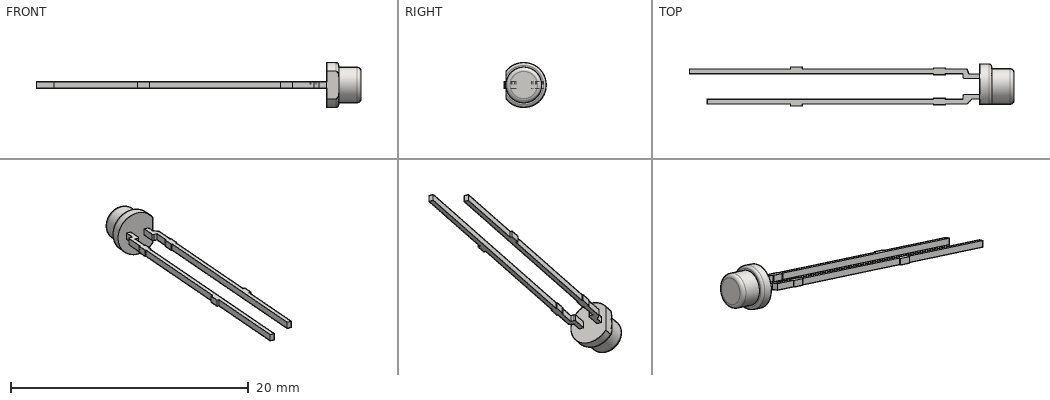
import cadquery as cq

overall_length = 27.3

flange_diameter = 3.8
lens_diameter = 3.0
flange_thickness = 1.0
lens_length = 1.88
flange_edge_radius = 0.25
lens_edge_radius = 0.35

lead_pitch = 2.55
lead_width = 0.4
lead_thickness = 0.57
short_lead_setback = 1.5

bump_length = 1.0
far_bump_start = 8.5
far_bump_height = 0.177
near_bump_start = 20.5
near_bump_height = 0.08

jog_inner_start = 23.0
jog_outer_start = 23.35
jog_offset = lead_width
jog_corner_chamfer = 0.1
long_lead_jog_run = 0.16
short_lead_jog_run = 0.4

flange_back = overall_length - lens_length - flange_thickness
flange_front = overall_length - lens_length
lens_radius = lens_diameter / 2
lead_outer = (lead_pitch + lead_width) / 2
lead_inner = lead_outer - lead_width


def cylinder(diameter, start, length):
    """Cylinder along X, beginning at X = start."""
    return cq.Workplane("YZ", origin=(start, 0, 0)).circle(diameter / 2).extrude(length)


def make_case():
    """Round lens on a flange whose -Y side is cut flat, level with the lens side."""
    flange = cylinder(flange_diameter, flange_back, flange_thickness)
    flange = flange.faces(">X").edges().fillet(flange_edge_radius)
    flat_cut = (
        cq.Workplane("XY")
        .box(flange_thickness, flange_diameter, flange_diameter, centered=(False, False, True))
        .translate((flange_back, -lens_radius - flange_diameter, 0))
    )
    lens = cylinder(lens_diameter, flange_front, lens_length)
    lens = lens.faces(">X").edges().fillet(lens_edge_radius)
    return flange.cut(flat_cut).union(lens)


def make_lead(tip, jog_run, side):
    """Flat lead with its bumps; side is +1 for the +Y lead and -1 for the -Y lead."""
    far_bump_end = far_bump_start + bump_length
    near_bump_end = near_bump_start + bump_length
    jogged_outer = lead_outer - jog_offset
    jogged_inner = lead_inner - jog_offset
    outline = [
        (tip, lead_outer),
        (far_bump_start, lead_outer),
        (far_bump_start, lead_outer + far_bump_height),
        (far_bump_end, lead_outer + far_bump_height),
        (far_bump_end, lead_outer),
        (near_bump_start, lead_outer),
        (near_bump_start, lead_outer + near_bump_height),
        (near_bump_end, lead_outer + near_bump_height),
        (near_bump_end, lead_outer),
        (jog_outer_start, lead_outer),
        (jog_outer_start + jog_run, jogged_outer),
        (flange_back, jogged_outer),
        (flange_back, jogged_inner),
        (jog_inner_start + jog_corner_chamfer, jogged_inner),
        (jog_inner_start, jogged_inner + jog_corner_chamfer),
        (jog_inner_start, lead_inner),
        (near_bump_end, lead_inner),
        (near_bump_end, lead_inner - near_bump_height),
        (near_bump_start, lead_inner - near_bump_height),
        (near_bump_start, lead_inner),
        (tip, lead_inner),
    ]
    return (
        cq.Workplane("XY")
        .polyline([(x, side * y) for x, y in outline])
        .close()
        .extrude(lead_thickness / 2, both=True)
    )


case = make_case()

lead_layout = [
    (0, long_lead_jog_run, 1),
    (short_lead_setback, short_lead_jog_run, -1),
]
leads = []
for tip, jog_run, side in lead_layout:
    leads.append(make_lead(tip, jog_run, side).val())

result = cq.Compound.makeCompound([case.val(), *leads])